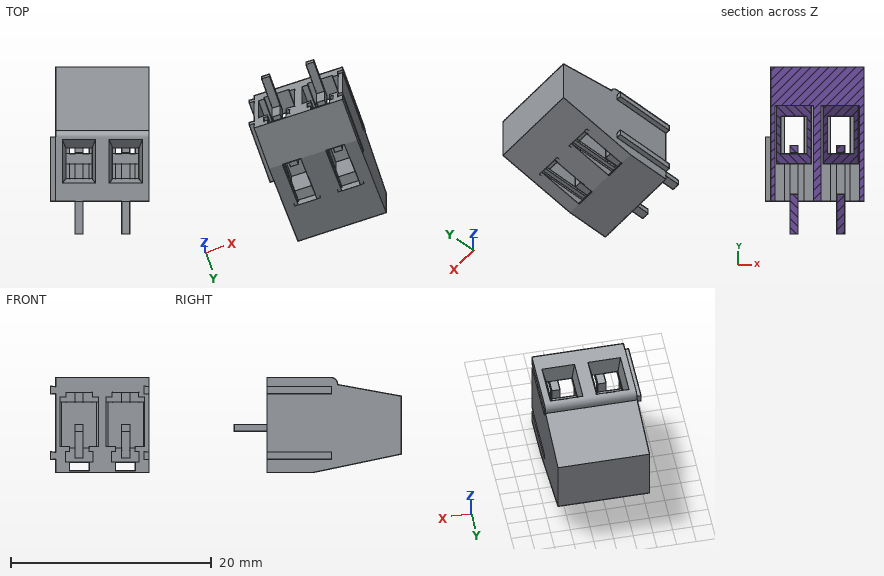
import cadquery as cq


overall_width = 9.83
overall_depth = 16.67

width = 9.31
depth = 13.4
height = 9.5
top_shelf_depth = 7.06
top_round = 0.72
rear_top = 7.63
rear_bottom = 1.84
underside_depth = 4.6

rail_length = 6.41
rail_reach = overall_width - width
rail_root = 0.71
rail_tip = 0.81
rail_heights = (1.69, 8.22)

pole_x = 2.335
poles = (-pole_x, pole_x)
pole_chamber_x = 2.29
pole_chambers = (-pole_chamber_x, pole_chamber_x)

floor = 0.21
foot_slot_width = 1.96
side_slot_width = 2.72
side_slot_bottom = 1.08
side_slot_top = 2.1
shoulder = 2.62
chamber_width = 3.81
ledge = 7.54
ceiling = 8.0
ceiling_width = 2.63
upper_chamber_depth = 5.85
lower_chamber_depth = 9.5

funnel_mouth_width = 3.31
funnel_mouth_front = 1.81
funnel_mouth_back = 6.14
funnel_throat_width = 2.62
funnel_throat_front = 2.26
funnel_throat_back = 5.3

cage_width = 3.5
cage_wall = 1.03
cage_side = 0.45
cage_front = 3.72
cage_back = lower_chamber_depth
cage_bottom = 2.47
cage_top = 7.03

pin_width = 0.83
pin_thickness = 0.72
pin_reach = overall_depth - depth
pin_top = 4.82
pin_foot = 1.48
contact_front = 4.85


def block(x, x_size, y_range, z_range):
    """Box centred on x, spanning the given Y and Z ranges."""
    y0, y1 = y_range
    z0, z1 = z_range
    return (
        cq.Workplane("XY")
        .box(x_size, y1 - y0, z1 - z0, centered=(True, False, False))
        .translate((x, y0, z0))
    )


def shell():
    """Outer shape, drawn from the side and extruded across the width."""
    round_start = top_shelf_depth - top_round
    return (
        cq.Workplane("YZ", origin=(-width / 2, 0, 0))
        .lineTo(underside_depth, 0)
        .lineTo(depth, rear_bottom)
        .lineTo(depth, rear_top)
        .lineTo(top_shelf_depth, height - top_round)
        .radiusArc((round_start, height), -top_round)
        .lineTo(0, height)
        .close()
        .extrude(width)
    )


def dovetail(side_x, z):
    """Dovetail bar reaching to -X from side_x, running back from the front face."""
    return (
        cq.Workplane("XZ", origin=(side_x, 0, z))
        .polyline([
            (0, -rail_root / 2),
            (0, rail_root / 2),
            (-rail_reach, rail_tip / 2),
            (-rail_reach, -rail_tip / 2),
        ])
        .close()
        .extrude(-rail_length)
    )


def chamber(x):
    """Stepped chamber, open at the front, with its lower slot breaking out of the rear slope."""
    lower = (0, lower_chamber_depth)
    upper = (0, upper_chamber_depth)
    foot_slot = block(x, foot_slot_width, lower, (floor, shoulder))
    floor_opening = block(x, foot_slot_width, (underside_depth, lower_chamber_depth), (0, shoulder))
    side_slot = block(x, side_slot_width, lower, (side_slot_bottom, side_slot_top))
    main = block(x, chamber_width, lower, (shoulder, cage_top))
    above_cage = block(x, chamber_width, upper, (cage_top, ledge))
    ceiling_recess = block(x, ceiling_width, upper, (ledge, ceiling))
    chamber_steps = foot_slot
    for step in (floor_opening, side_slot, main, above_cage, ceiling_recess):
        chamber_steps = chamber_steps.union(step)
    return chamber_steps


def funnel(x):
    """Tapered wire entry from the top face down to the chamber ceiling."""
    mouth_y = (funnel_mouth_front + funnel_mouth_back) / 2
    throat_y = (funnel_throat_front + funnel_throat_back) / 2
    return (
        cq.Workplane("XY", origin=(x, throat_y, ceiling))
        .rect(funnel_throat_width, funnel_throat_back - funnel_throat_front)
        .workplane(offset=height - ceiling)
        .center(0, mouth_y - throat_y)
        .rect(funnel_mouth_width, funnel_mouth_back - funnel_mouth_front)
        .loft(ruled=True)
    )


def cage_seat(x):
    """Shallow recess in the chamber shoulders under the cage."""
    return block(x, cage_width, (cage_front, cage_back), (cage_bottom, shoulder))


def make_housing():
    body = shell()
    for z in rail_heights:
        body = body.union(dovetail(-width / 2, z))
        body = body.cut(dovetail(width / 2, z))
    for x in pole_chambers:
        body = body.cut(chamber(x))
    for x in poles:
        body = body.cut(funnel(x)).cut(cage_seat(x))
    return body


def make_cage(x):
    """Rectangular ring around the contact end of the pin, open upwards and downwards."""
    heights = (cage_bottom, cage_top)
    ring = block(x, cage_width, (cage_front, cage_back), heights)
    opening = block(
        x,
        cage_width - 2 * cage_side,
        (cage_front + cage_wall, cage_back - cage_wall),
        heights,
    )
    return ring.cut(opening)


def make_pin(x):
    """Strip running in from the front, down, back along the foot and up as the contact."""
    contact_back = contact_front + pin_thickness
    return (
        cq.Workplane("YZ", origin=(x - pin_width / 2, 0, 0))
        .polyline([
            (-pin_reach, pin_top),
            (pin_thickness, pin_top),
            (pin_thickness, pin_foot + pin_thickness),
            (contact_front, pin_foot + pin_thickness),
            (contact_front, ceiling),
            (contact_back, ceiling),
            (contact_back, pin_foot),
            (0, pin_foot),
            (0, pin_top - pin_thickness),
            (-pin_reach, pin_top - pin_thickness),
        ])
        .close()
        .extrude(pin_width)
    )


housing = make_housing()
cages = [make_cage(x) for x in poles]
pins = [make_pin(x) for x in poles]

result = cq.Compound.makeCompound([
    housing.val(),
    *[cage.val() for cage in cages],
    *[pin.val() for pin in pins],
])